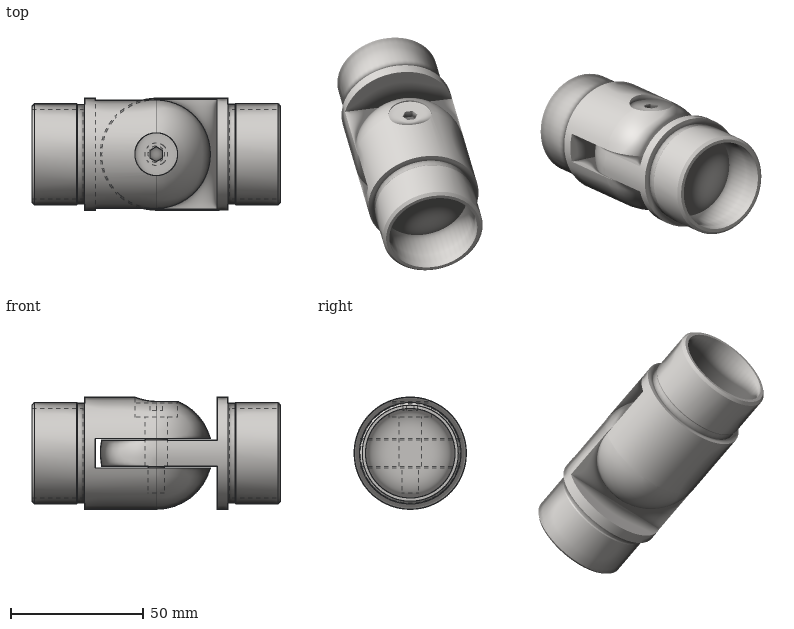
import cadquery as cq
import math


total_length = 94.0
body_radius = 21.2
half_length = total_length / 2

flange_outer_x = 27.1
flange_thickness = 4.0
flange_inner_x = flange_outer_x - flange_thickness
spigot_radius = 19.2
spigot_end_chamfer = 1.0
neck_radius = 18.9
neck_length = 2.6
neck_taper_length = 0.5
bore_radius = 16.9
bore_depth = 19.3
bore_floor_x = half_length - bore_depth

tongue_thickness = 10.0
slot_width = 11.1

head_radius = 8.1
head_top_z = 19.0
head_height = 5.4
head_bottom_z = head_top_z - head_height
shoulder_radius = 4.2
shoulder_bottom_z = -tongue_thickness / 2
thread_radius = 3.1
thread_bottom_z = -15.0
hex_across_flats = 4.9
hex_depth = 2.8


def x_cylinder(radius, start_x, end_x):
    """Cylinder on the tube axis between two X positions."""
    return cq.Workplane("YZ").workplane(offset=start_x).circle(radius).extrude(end_x - start_x)


def z_cylinder(radius, bottom_z, top_z):
    """Cylinder on the pivot axis between two heights."""
    return cq.Workplane("XY").workplane(offset=bottom_z).circle(radius).extrude(top_z - bottom_z)


def make_spigot():
    """Hollow spigot with an undercut neck, pointing to +X."""
    neck_end_x = flange_outer_x + neck_length
    profile = [
        (flange_outer_x, 0),
        (flange_outer_x, neck_radius),
        (neck_end_x, neck_radius),
        (neck_end_x + neck_taper_length, spigot_radius),
        (half_length - spigot_end_chamfer, spigot_radius),
        (half_length, spigot_radius - spigot_end_chamfer),
        (half_length, bore_radius),
        (bore_floor_x, bore_radius),
        (bore_floor_x, 0),
    ]
    return cq.Workplane("XY").polyline(profile).close().revolve(360, (0, 0, 0), (1, 0, 0))


def make_round_ended_body():
    """Cylinder from the +X flange to the pivot, closed by a hemisphere on the -X side."""
    return x_cylinder(body_radius, 0, flange_outer_x).union(cq.Workplane("XY").sphere(body_radius))


def make_screw():
    """Shoulder screw with a flat head and a hexagon socket."""
    screw = z_cylinder(head_radius, head_bottom_z, head_top_z)
    screw = screw.union(z_cylinder(shoulder_radius, shoulder_bottom_z, head_bottom_z))
    screw = screw.union(z_cylinder(thread_radius, thread_bottom_z, shoulder_bottom_z))
    hex_across_corners = hex_across_flats / math.cos(math.pi / 6)
    socket = (
        cq.Workplane("XY")
        .workplane(offset=head_top_z - hex_depth)
        .transformed(rotate=(0, 0, 90))
        .polygon(6, hex_across_corners)
        .extrude(hex_depth)
    )
    return screw.cut(socket)


def make_clevis():
    """Slotted round-ended body with its spigot on the -X side and a stepped screw hole."""
    clevis = make_round_ended_body().union(make_spigot()).rotate((0, 0, 0), (0, 0, 1), 180)
    slot_length = flange_inner_x + body_radius
    slot = (
        cq.Workplane("XY")
        .box(slot_length, 2 * body_radius, slot_width, centered=(False, True, True))
        .translate((-flange_inner_x, 0, 0))
    )
    counterbore = z_cylinder(head_radius, head_bottom_z, body_radius)
    shoulder_hole = z_cylinder(shoulder_radius, 0, head_bottom_z)
    thread_hole = z_cylinder(thread_radius, thread_bottom_z, 0)
    return clevis.cut(slot).cut(counterbore).cut(shoulder_hole).cut(thread_hole)


def make_tongue():
    """Flat tongue cut from the round-ended body, with its flange and spigot on the +X side."""
    slab_length = body_radius + flange_inner_x
    slab = (
        cq.Workplane("XY")
        .box(slab_length, 2 * body_radius, tongue_thickness, centered=(False, True, True))
        .translate((-body_radius, 0, 0))
    )
    tongue = make_round_ended_body().intersect(slab)
    flange = x_cylinder(body_radius, flange_inner_x, flange_outer_x)
    shoulder_hole = z_cylinder(shoulder_radius, shoulder_bottom_z, tongue_thickness / 2)
    return tongue.union(flange).union(make_spigot()).cut(shoulder_hole)


clevis = make_clevis()
tongue = make_tongue()
screw = make_screw()

result = cq.Compound.makeCompound([clevis.val(), tongue.val(), screw.val()])